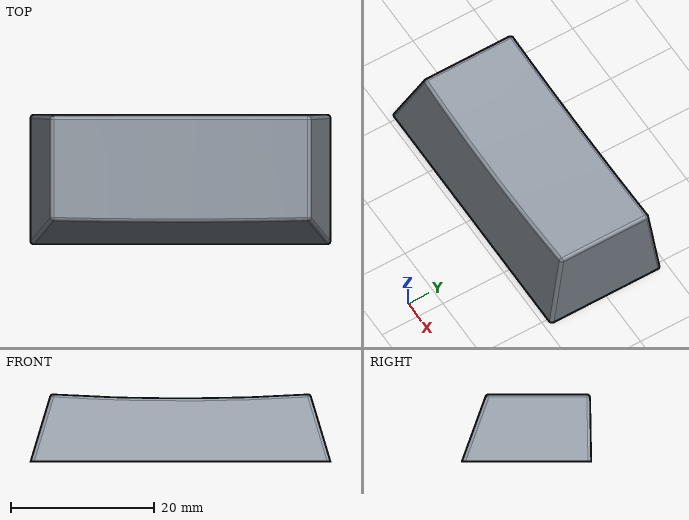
import cadquery as cq

length = 41.85
width = 18.1
height = 9.4

side_inset = 2.85
front_inset = 3.45
back_inset = 0.15

dish_depth = 0.6
edge_radius = 0.5


def tapered_side_profile():
    """Outline along X, leaning ends and a shallow dished top, swept across Y."""
    top_half_length = length / 2 - side_inset
    return (
        cq.Workplane("XZ")
        .moveTo(-length / 2, 0)
        .lineTo(length / 2, 0)
        .lineTo(top_half_length, height)
        .threePointArc((0, height - dish_depth), (-top_half_length, height))
        .close()
        .extrude(width / 2, both=True)
    )


def tapered_front_profile():
    """Outline along Y, sloping front and nearly upright back, swept along X."""
    return (
        cq.Workplane("YZ")
        .moveTo(-width / 2, 0)
        .lineTo(width / 2, 0)
        .lineTo(width / 2 - back_inset, height)
        .lineTo(-width / 2 + front_inset, height)
        .close()
        .extrude(length / 2, both=True)
    )


body = tapered_side_profile().intersect(tapered_front_profile())
underside_edges = body.faces("<Z").edges().vals()
rounded_edges = [
    edge
    for edge in body.edges().vals()
    if not any(edge.isSame(lower) for lower in underside_edges)
]
result = body.newObject(rounded_edges).fillet(edge_radius)